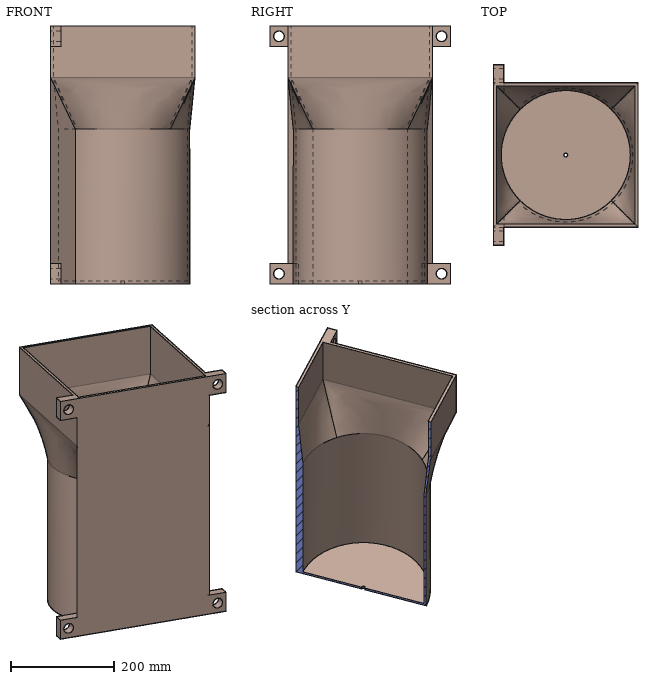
import cadquery as cq
import math

height = 500.0
box_side = 280.0
wall = 6.0
bore_diameter = 250.0
tube_diameter = 260.0
drain_diameter = 7.0

funnel_bottom = 300.0
funnel_top = 400.0

span_with_tabs = 350.0
tab_thickness = 20.0
tab_height = 40.0
screw_diameter = 20.0

center_x = box_side / 2


def funnel(side, radius):
    """Ruled transition from a circle up to a square, with seams at the corners."""
    reach = radius * math.sqrt(0.5)
    circle = (
        cq.Workplane("XY", origin=(center_x, 0, funnel_bottom))
        .moveTo(-reach, -reach)
        .threePointArc((0, -radius), (reach, -reach))
        .threePointArc((radius, 0), (reach, reach))
        .threePointArc((0, radius), (-reach, reach))
        .threePointArc((-radius, 0), (-reach, -reach))
        .close()
        .val()
    )
    half = side / 2
    square = (
        cq.Workplane("XY", origin=(center_x, 0, funnel_top))
        .polyline([(-half, -half), (half, -half), (half, half), (-half, half)])
        .close()
        .val()
    )
    return cq.Workplane(obj=cq.Solid.makeLoft([circle, square], True))


def vessel(side, radius, bottom):
    """Solid tube, transition and square box stacked from the given bottom level."""
    tube = (
        cq.Workplane("XY", origin=(center_x, 0, bottom))
        .circle(radius)
        .extrude(funnel_bottom - bottom)
    )
    box = (
        cq.Workplane("XY", origin=(center_x, 0, funnel_top))
        .rect(side, side)
        .extrude(height - funnel_top)
    )
    return tube.union(funnel(side, radius)).union(box)


def back_support():
    """Block behind the tube whose slanted sides run along the corner diagonals."""
    half = box_side / 2
    reach = tube_diameter / 2 * math.sqrt(0.5)
    front_x = center_x - reach
    return (
        cq.Workplane("XY")
        .polyline([(0, -half), (front_x, -reach), (front_x, reach), (0, half)])
        .close()
        .extrude(funnel_top)
    )


def mounting_bar(bottom):
    """Bar across the back whose two ends form drilled mounting tabs."""
    screw_spacing = (span_with_tabs + box_side) / 2
    return (
        cq.Workplane("YZ", origin=(0, 0, bottom + tab_height / 2))
        .rect(span_with_tabs, tab_height)
        .extrude(tab_thickness)
        .faces("<X")
        .workplane(origin=(0, 0, bottom + tab_height / 2))
        .pushPoints([(-screw_spacing / 2, 0), (screw_spacing / 2, 0)])
        .hole(screw_diameter)
    )


body = vessel(box_side, tube_diameter / 2, 0).union(back_support())

for bar_bottom in (0, height - tab_height):
    body = body.union(mounting_bar(bar_bottom))

cavity = vessel(box_side - 2 * wall, bore_diameter / 2, wall)
drain = cq.Workplane("XY", origin=(center_x, 0, 0)).circle(drain_diameter / 2).extrude(wall)

result = body.cut(cavity).cut(drain)